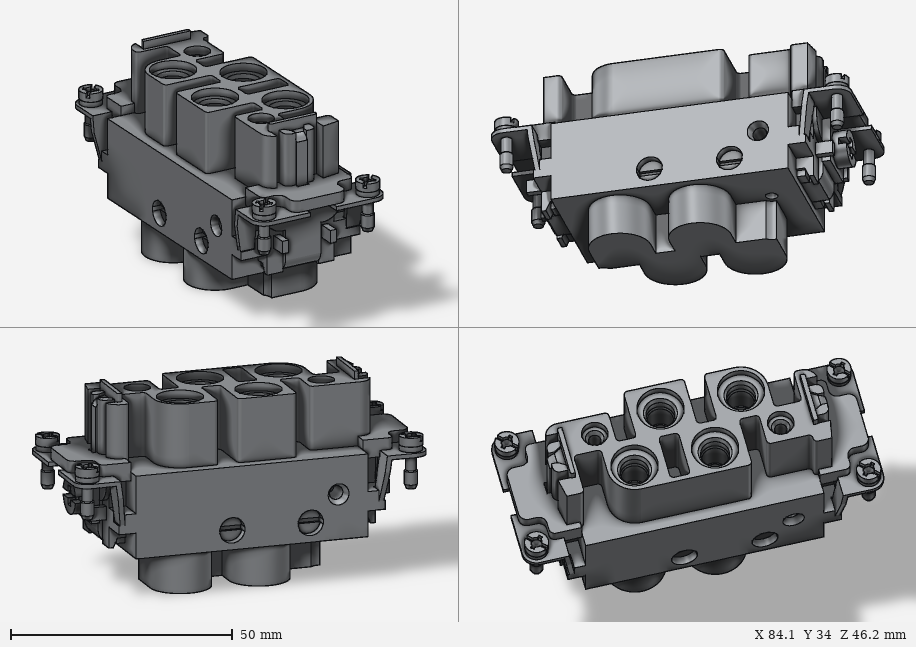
import cadquery as cq
import math


BODY_BOTTOM = 9.8
BODY_TOP = 29.3
INSERT_TOP = 44.2
LATCH_TOP = 46.2
FLANGE_TOP = 31.5
PLATE_TOP = 28.8
PLATE_THICKNESS = 1.0
PLATE_BOTTOM = PLATE_TOP - PLATE_THICKNESS

BODY_HALF_LENGTH = 27.75
BODY_HALF_WIDTH = 15.6

CONTACT_Y = 6.5
CONTACT_X_NEAR = 4.7
CONTACT_X_FAR = 14.05
CONTACTS = [
    (-CONTACT_X_FAR, -CONTACT_Y),
    (CONTACT_X_NEAR, -CONTACT_Y),
    (-CONTACT_X_NEAR, CONTACT_Y),
    (CONTACT_X_FAR, CONTACT_Y),
]
CONTACT_PROFILE = [
    (10.7, 0.0),
    (10.7, 1.9),
    (7.65, 1.9),
    (6.6, 2.9),
    (6.6, 4.7),
    (6.0, 5.2),
    (6.0, 11.8),
    (5.3, 11.8),
    (0.0, 13.45),
]

PINS = [(-20.7, 3.8), (20.7, -3.8)]
PIN_THROUGH_DIAMETER = 2.8
PIN_PROFILE = [
    (6.0, 0.0),
    (6.0, 2.1),
    (4.2, 2.1),
    (PIN_THROUGH_DIAMETER, 3.0),
    (PIN_THROUGH_DIAMETER, INSERT_TOP),
    (0.0, INSERT_TOP),
]

INSERT_HALF_WIDTH = 12.8
CONTACT_WALL = 6.3
NOTCH_FLOOR_Y = 0.6
NOTCH_CORNER = 0.9
SLOT_X_INNER = 2.35
SLOT_X_OUTER = 7.0
SIDE_NOTCH_INNER = 11.8
SIDE_NOTCH_OUTER = 16.4
END_NOTCH_OUTER = 26.75
END_BLOCK_Y = 8.5
PRONG_Y = 10.5
PRONG_X = 30.9
PRONG_TIP_X = 31.7
PRONG_CORNER = 3.4

LATCH_HALF_WIDTH = 6.1
LATCH_GAP_HALF_WIDTH = 6.0
TONGUE_X_INNER = 27.75
TONGUE_X_OUTER = 28.85
TONGUE_CORNER = 0.4
LATCH_BLOCK_X = 32.1
LATCH_BLOCK_HALF_WIDTH = 3.95
GUIDE_CORNER = 1.5
TOOTH_X = 32.5
TOOTH_HALF_WIDTH = 1.4
TOOTH_RAMP_X = 30.7
TOOTH_FLOOR_Z = 43.6
TOOTH_RAMP_Z = 42.05
RELIEF_HALF_WIDTH = 2.6
TOOTH_GAP = 0.7

END_X = 31.9
END_HALF_WIDTH = 8.75
PANEL_X = 33.0
PANEL_HALF_WIDTH = 10.3
PANEL_BOTTOM = 21.45
PANEL_CORNER = 5.05
RIB_HALF_WIDTH = 4.6
RIB_BOTTOM = 11.7
RIB_CURVE_TOP = 14.0
RIB_CURVE_MIDDLE = (32.55, 12.6)
ARM_BOTTOM = 15.9
ARM_TOP = 20.4
FLANGE_BOTTOM = 27.25
FLANGE_X = 40.7
FLANGE_NECK_X = 35.1
FLANGE_HALF_WIDTH = 12.0
FLANGE_TIP_HALF_WIDTH = 7.0
FLANGE_NECK_CORNER = 1.35
FLANGE_TIP_CORNER = 1.9
LUG_X = 35.8
LUG_HALF_WIDTH = 7.1
LUG_BOTTOM = 17.15
LUG_TOP = 20.3

PLATE_X = 42.05
PLATE_HALF_WIDTH = 17.0
PLATE_CORNER = 3.3
PLATE_NOTCH_HALF_WIDTH = 3.45
PANEL_RECESS_DEPTH = 0.7
LEG_HALF_WIDTH_INNER = 11.95
LEG_TAPER_TOP = 24.8
LEG_BOTTOM = 18.0
LEG_BOTTOM_INNER_X = 30.4
LEG_BOTTOM_OUTER_X = 31.5

SCREW_X = 38.7
SCREW_Y = 13.5
SCREW_TOP = 32.1
SCREW_WASHER_TOP = 30.0
SCREW_NECK_BOTTOM = 24.05
SCREW_HEAD_DIAMETER = 5.5
SCREW_STEPS = [
    (SCREW_TOP, SCREW_WASHER_TOP, SCREW_HEAD_DIAMETER),
    (SCREW_WASHER_TOP, PLATE_TOP, 5.3),
    (PLATE_TOP, SCREW_NECK_BOTTOM, 2.5),
]
SCREW_THREAD_DIAMETER = 3.0
SCREW_THREAD_BOTTOM = 20.8
SCREW_TIP_DIAMETER = 2.2
SCREW_BOTTOM = 19.8
SCREW_TAPER = 0.25
SCREW_SLOT_WIDTH = 0.8
SCREW_SLOT_DEPTH = 1.1
SCREW_CROSS_LENGTH = 3.7
RECESS_DIAMETER = 2.5
RECESS_POINT_DEPTH = 1.1

TERMINAL_HALF_WIDTH = 5.5
TERMINAL_X = 34.9
TERMINAL_Z = 21.5
TERMINAL_HEAD_DIAMETER = 8.5
TERMINAL_HEAD_X = 38.3
TERMINAL_SLOT_HEIGHT = 1.5
TERMINAL_SLOT_DEPTH = 1.85
TERMINAL_CROSS_LENGTH = 4.5
TERMINAL_CROSS_WIDTH = 1.85

CLAMP_HOLE_DIAMETER = 6.0
CLAMP_HOLE_Z = 14.4
CLAMP_HOLE_DEPTH = 2.0
CLAMP_SLOT_WIDTH = 1.1
CLAMP_SLOT_DEPTH = 0.8
PIN_HOLE_Z = 20.4
PIN_HOLE_MOUTH_DIAMETER = 5.0
PIN_HOLE_MOUTH_DEPTH = 1.7
PIN_HOLE_DIAMETER = 3.2
PIN_HOLE_DEPTH = 7.6

SLEEVE_RADIUS = 7.15
SLEEVE_WEB_HALF_WIDTH = 2.1
SLEEVE_RELIEF_DIAMETER = 5.0


def box(x0, x1, y0, y1, z0, z1):
    """Box between two opposite corners."""
    return cq.Workplane("XY").box(x1 - x0, y1 - y0, z1 - z0, centered=False).translate((x0, y0, z0))


def cylinder(x, y, z0, z1, diameter):
    """Upright cylinder between two heights."""
    return cq.Workplane("XY").circle(diameter / 2).extrude(z1 - z0).translate((x, y, z0))


def rounded_prism(corners, z0, z1):
    """Upright prism whose corners (x, y, radius) are rounded; radius 0 stays sharp."""
    rounded = []
    count = len(corners)
    for i, (x, y, radius) in enumerate(corners):
        corner = cq.Vector(x, y)
        back = (cq.Vector(*corners[i - 1][:2]) - corner).normalized()
        ahead = (cq.Vector(*corners[(i + 1) % count][:2]) - corner).normalized()
        half_angle = back.getAngle(ahead) / 2
        reach = radius / math.tan(half_angle)
        middle = (back + ahead).normalized() * (radius / math.sin(half_angle) - radius)
        rounded.append((corner + back * reach, corner + middle, corner + ahead * reach, radius))

    outline = cq.Workplane("XY").moveTo(rounded[0][2].x, rounded[0][2].y)
    for start, middle, end, radius in rounded[1:] + rounded[:1]:
        outline = outline.lineTo(start.x, start.y)
        if radius:
            outline = outline.threePointArc((middle.x, middle.y), (end.x, end.y))
    return outline.close().extrude(z1 - z0).translate((0, 0, z0))


def on_both_ends(solid):
    """A feature of the +X end together with its mirror image on the -X end."""
    return solid.union(solid.mirror("YZ"))


def on_both_sides(solid):
    """A feature of the +Y side together with its mirror image on the -Y side."""
    return solid.union(solid.mirror("XZ"))


def half_turn(solid):
    """A feature together with its copy turned half a turn about Z."""
    return solid.union(solid.rotate((0, 0, 0), (0, 0, 1), 180))


def mating_insert():
    """Moulded block around the contacts, with slots between them and prongs at the ends."""
    r = NOTCH_CORNER
    far_wall = CONTACT_X_FAR + CONTACT_WALL
    corners = [
        (-PRONG_TIP_X, LATCH_HALF_WIDTH, 0),
        (-PRONG_X, PRONG_Y, 0),
        (-END_NOTCH_OUTER, PRONG_Y, r),
        (-END_NOTCH_OUTER, END_BLOCK_Y, r),
        (-SIDE_NOTCH_OUTER, END_BLOCK_Y, r),
        (-SIDE_NOTCH_OUTER, NOTCH_FLOOR_Y, r),
        (-SIDE_NOTCH_INNER, NOTCH_FLOOR_Y, r),
        (-SIDE_NOTCH_INNER, INSERT_HALF_WIDTH, r),
        (far_wall, INSERT_HALF_WIDTH, CONTACT_WALL),
        (far_wall, NOTCH_FLOOR_Y, r),
        (END_NOTCH_OUTER, NOTCH_FLOOR_Y, r),
        (END_NOTCH_OUTER, PRONG_Y, r),
        (PRONG_X, PRONG_Y, 0),
        (PRONG_TIP_X, LATCH_HALF_WIDTH, 0),
        (PRONG_TIP_X, -END_BLOCK_Y, PRONG_CORNER),
        (SIDE_NOTCH_OUTER, -END_BLOCK_Y, r),
        (SIDE_NOTCH_OUTER, -NOTCH_FLOOR_Y, r),
        (SIDE_NOTCH_INNER, -NOTCH_FLOOR_Y, r),
        (SIDE_NOTCH_INNER, -INSERT_HALF_WIDTH, r),
        (-SLOT_X_INNER, -INSERT_HALF_WIDTH, r),
        (-SLOT_X_INNER, -NOTCH_FLOOR_Y, r),
        (-SLOT_X_OUTER, -NOTCH_FLOOR_Y, r),
        (-SLOT_X_OUTER, -INSERT_HALF_WIDTH, r),
        (-far_wall, -INSERT_HALF_WIDTH, CONTACT_WALL),
        (-far_wall, -NOTCH_FLOOR_Y, r),
        (-END_NOTCH_OUTER, -NOTCH_FLOOR_Y, r),
        (-END_NOTCH_OUTER, -END_BLOCK_Y, r),
        (-PRONG_TIP_X, -END_BLOCK_Y, PRONG_CORNER),
    ]
    insert = rounded_prism(corners, PLATE_TOP, INSERT_TOP)
    slot_end_y = 11.7
    closed_slot = box(SLOT_X_INNER, SLOT_X_OUTER, NOTCH_FLOOR_Y, slot_end_y, BODY_TOP, INSERT_TOP)
    insert = insert.cut(closed_slot.edges("|Z").fillet(r))
    latch_gap = box(
        TONGUE_X_INNER, FLANGE_X, -LATCH_GAP_HALF_WIDTH, LATCH_GAP_HALF_WIDTH, FLANGE_TOP, INSERT_TOP
    )
    return insert.cut(on_both_ends(latch_gap))


def latch():
    """Spring tongue, guide block and snap tooth at the +X end."""
    tongue = box(
        TONGUE_X_INNER, TONGUE_X_OUTER, -LATCH_HALF_WIDTH, LATCH_HALF_WIDTH, FLANGE_BOTTOM, LATCH_TOP
    )
    tongue = tongue.edges("|Z and >X").fillet(TONGUE_CORNER)
    half = LATCH_BLOCK_HALF_WIDTH
    guide = box(TONGUE_X_INNER, LATCH_BLOCK_X, -half, half, FLANGE_BOTTOM, INSERT_TOP)
    guide = guide.edges("|Z and >X").fillet(GUIDE_CORNER)
    relief = (
        cq.Workplane("XY")
        .polyline(
            [
                (TONGUE_X_OUTER, RELIEF_HALF_WIDTH),
                (TOOTH_RAMP_X, TOOTH_HALF_WIDTH),
                (TOOTH_X, TOOTH_HALF_WIDTH),
                (TOOTH_X, -TOOTH_HALF_WIDTH),
                (TOOTH_RAMP_X, -TOOTH_HALF_WIDTH),
                (TONGUE_X_OUTER, -RELIEF_HALF_WIDTH),
            ]
        )
        .close()
        .extrude(INSERT_TOP - TOOTH_RAMP_Z)
        .translate((0, 0, TOOTH_RAMP_Z))
    )
    ramp_bulge = 0.13
    ramp_middle = (
        (TOOTH_RAMP_X + TOOTH_X) / 2 + ramp_bulge,
        (TOOTH_FLOOR_Z + TOOTH_RAMP_Z) / 2 + ramp_bulge,
    )
    tooth_block = (
        cq.Workplane("XZ")
        .moveTo(TONGUE_X_INNER, FLANGE_BOTTOM)
        .lineTo(TOOTH_X, FLANGE_BOTTOM)
        .lineTo(TOOTH_X, TOOTH_RAMP_Z)
        .threePointArc(ramp_middle, (TOOTH_RAMP_X, TOOTH_FLOOR_Z))
        .lineTo(TONGUE_X_INNER, TOOTH_FLOOR_Z)
        .close()
        .extrude(RELIEF_HALF_WIDTH, both=True)
    )
    tooth_strip = box(
        TONGUE_X_INNER, TOOTH_X, -TOOTH_HALF_WIDTH, TOOTH_HALF_WIDTH, FLANGE_BOTTOM, INSERT_TOP
    )
    floor = tooth_block.intersect(relief.union(tooth_strip))
    return guide.cut(relief).union(floor).union(tongue)


def flange():
    """Stepped flange with a rounded tip at the +X end."""
    half = [
        (FLANGE_NECK_X, FLANGE_HALF_WIDTH, FLANGE_NECK_CORNER),
        (FLANGE_NECK_X, FLANGE_TIP_HALF_WIDTH, FLANGE_TIP_CORNER),
        (FLANGE_X, FLANGE_TIP_HALF_WIDTH, FLANGE_TIP_CORNER),
    ]
    root = [(BODY_HALF_LENGTH, FLANGE_HALF_WIDTH, 0)]
    corners = root + half
    corners += [(x, -y, radius) for x, y, radius in reversed(corners)]
    tip = rounded_prism(corners, PLATE_TOP, FLANGE_TOP)
    root_block = box(
        BODY_HALF_LENGTH, END_X, -FLANGE_HALF_WIDTH, FLANGE_HALF_WIDTH, FLANGE_BOTTOM, FLANGE_TOP
    )
    tooth_clearance = box(
        TOOTH_X, TOOTH_X + TOOTH_GAP, -TOOTH_HALF_WIDTH, TOOTH_HALF_WIDTH, PLATE_TOP, FLANGE_TOP
    )
    return tip.union(root_block).cut(tooth_clearance)


def end_block():
    """Hooked end wall, side arms, hanging panel and centre rib at the +X end."""
    hook_bottom = 10.9
    hook_toe_x = 30.8
    heel_x = 29.8
    heel_half_width = 7.9
    heel_bottom = 11.6
    hook_notch_top = 13.1
    hook_points = [
        (BODY_HALF_LENGTH, FLANGE_TOP),
        (END_X, FLANGE_TOP),
        (END_X, hook_bottom),
        (hook_toe_x, hook_bottom),
        (heel_x, hook_notch_top),
        (BODY_HALF_LENGTH, hook_notch_top),
    ]
    wall = cq.Workplane("XZ").polyline(hook_points).close().extrude(END_HALF_WIDTH, both=True)
    heel = box(
        BODY_HALF_LENGTH, heel_x, -heel_half_width, heel_half_width, heel_bottom, hook_notch_top
    )
    wall = wall.union(heel)
    wall = wall.cut(box(BODY_HALF_LENGTH, END_X, -RIB_HALF_WIDTH, RIB_HALF_WIDTH, 0, RIB_BOTTOM))

    arms = box(BODY_HALF_LENGTH, END_X, -BODY_HALF_WIDTH, BODY_HALF_WIDTH, ARM_BOTTOM, ARM_TOP)
    leg_seat = box(
        LEG_BOTTOM_INNER_X, END_X, LEG_HALF_WIDTH_INNER, BODY_HALF_WIDTH, LEG_BOTTOM, ARM_TOP
    )
    arms = arms.cut(on_both_sides(leg_seat))

    panel = box(BODY_HALF_LENGTH, PANEL_X, -PANEL_HALF_WIDTH, PANEL_HALF_WIDTH, PANEL_BOTTOM, PLATE_TOP)
    panel = panel.edges("|X and <Z").fillet(PANEL_CORNER)
    behind = box(BODY_HALF_LENGTH, END_X, END_HALF_WIDTH, PANEL_HALF_WIDTH, PANEL_BOTTOM, FLANGE_BOTTOM)
    panel = panel.cut(on_both_sides(behind))
    recess_bottom = 27.2
    recess_bottom_half_width = 2.7
    recess = (
        cq.Workplane("YZ")
        .polyline(
            [
                (-PLATE_NOTCH_HALF_WIDTH, PLATE_TOP),
                (-PLATE_NOTCH_HALF_WIDTH, PLATE_BOTTOM),
                (-recess_bottom_half_width, recess_bottom),
                (recess_bottom_half_width, recess_bottom),
                (PLATE_NOTCH_HALF_WIDTH, PLATE_BOTTOM),
                (PLATE_NOTCH_HALF_WIDTH, PLATE_TOP),
            ]
        )
        .close()
        .extrude(PANEL_RECESS_DEPTH)
        .translate((PANEL_X - PANEL_RECESS_DEPTH, 0, 0))
    )

    rib = (
        cq.Workplane("XZ")
        .moveTo(BODY_HALF_LENGTH, PANEL_BOTTOM)
        .lineTo(PANEL_X, PANEL_BOTTOM)
        .lineTo(PANEL_X, RIB_CURVE_TOP)
        .threePointArc(RIB_CURVE_MIDDLE, (END_X, RIB_BOTTOM))
        .lineTo(BODY_HALF_LENGTH, RIB_BOTTOM)
        .close()
        .extrude(RIB_HALF_WIDTH, both=True)
    )
    lug = box(BODY_HALF_LENGTH, LUG_X, TERMINAL_HALF_WIDTH, LUG_HALF_WIDTH, LUG_BOTTOM, LUG_TOP)
    return wall.union(arms).union(panel.cut(recess)).union(rib).union(on_both_sides(lug))


def mounting_plate():
    """Sheet-metal plate with an end notch and two legs bent down at the +X end."""
    plate = box(END_X, PLATE_X, -PLATE_HALF_WIDTH, PLATE_HALF_WIDTH, PLATE_BOTTOM, PLATE_TOP)
    plate = plate.edges("|Z and >X").fillet(PLATE_CORNER)
    notch = PLATE_NOTCH_HALF_WIDTH
    plate = plate.cut(box(PANEL_X - PANEL_RECESS_DEPTH, PLATE_X, -notch, notch, PLATE_BOTTOM, PLATE_TOP))

    bent_sheet = (
        cq.Workplane("XZ")
        .polyline(
            [
                (END_X, PLATE_TOP),
                (PANEL_X, PLATE_TOP),
                (PANEL_X, PLATE_BOTTOM),
                (LEG_BOTTOM_OUTER_X, LEG_BOTTOM),
                (LEG_BOTTOM_INNER_X, LEG_BOTTOM),
            ]
        )
        .close()
        .extrude(PLATE_HALF_WIDTH, both=True)
    )
    leg_face = (
        cq.Workplane("YZ")
        .polyline(
            [
                (LEG_HALF_WIDTH_INNER, PLATE_TOP),
                (PLATE_HALF_WIDTH, PLATE_TOP),
                (PLATE_HALF_WIDTH, LEG_TAPER_TOP),
                (BODY_HALF_WIDTH, LEG_BOTTOM),
                (LEG_HALF_WIDTH_INNER, LEG_BOTTOM),
            ]
        )
        .close()
        .extrude(PLATE_X)
    )
    return plate.union(on_both_sides(bent_sheet.intersect(leg_face)))


def pointed_recess(depth):
    """Round recess below Z = 0 with a conical floor, the middle of a cross recess."""
    radius = RECESS_DIAMETER / 2
    profile = [(0, 0), (radius, 0), (radius, -depth), (0, -depth - RECESS_POINT_DEPTH)]
    return cq.Workplane("XZ").polyline(profile).close().revolve(360, (0, 0, 0), (0, 1, 0))


def mounting_screw(x, y):
    """Captive screw with a slotted cross-recess head and a necked shank."""
    top_to_thread = []
    for upper, lower, diameter in SCREW_STEPS:
        top_to_thread += [(diameter / 2, upper), (diameter / 2, lower)]
    profile = [(0, SCREW_TOP)] + top_to_thread + [
        (SCREW_THREAD_DIAMETER / 2, SCREW_NECK_BOTTOM - SCREW_TAPER),
        (SCREW_THREAD_DIAMETER / 2, SCREW_THREAD_BOTTOM),
        (SCREW_TIP_DIAMETER / 2, SCREW_BOTTOM),
        (0, SCREW_BOTTOM),
    ]
    screw = cq.Workplane("XZ").polyline(profile).close().revolve(360, (0, 0, 0), (0, 1, 0))
    half_slot = SCREW_SLOT_WIDTH / 2
    half_cross = SCREW_CROSS_LENGTH / 2
    recess_floor = SCREW_TOP - SCREW_SLOT_DEPTH
    slot = box(
        -SCREW_HEAD_DIAMETER, SCREW_HEAD_DIAMETER, -half_slot, half_slot, recess_floor, SCREW_TOP
    )
    cross = box(-half_slot, half_slot, -half_cross, half_cross, recess_floor, SCREW_TOP)
    centre = pointed_recess(SCREW_SLOT_DEPTH).translate((0, 0, SCREW_TOP))
    recess = slot.union(cross).union(centre).rotate((0, 0, 0), (0, 0, 1), -45)
    return screw.cut(recess).translate((x, y, 0))


def earth_terminal():
    """Square clamp block with a slotted screw head on the -X end."""
    half = TERMINAL_HALF_WIDTH
    block = box(-TERMINAL_X, -PANEL_X, -half, half, TERMINAL_Z - half, TERMINAL_Z + half)
    centre = cq.Workplane("YZ", origin=(-TERMINAL_HEAD_X, 0, TERMINAL_Z))
    head = centre.circle(TERMINAL_HEAD_DIAMETER / 2).extrude(TERMINAL_HEAD_X - TERMINAL_X)
    slot = centre.rect(TERMINAL_HEAD_DIAMETER, TERMINAL_SLOT_HEIGHT).extrude(TERMINAL_SLOT_DEPTH)
    half_cross = TERMINAL_CROSS_LENGTH / 2
    cross = (
        cq.Workplane("XZ")
        .polyline(
            [
                (-TERMINAL_HEAD_X, TERMINAL_Z - half_cross),
                (-TERMINAL_HEAD_X, TERMINAL_Z + half_cross),
                (TERMINAL_SLOT_DEPTH - TERMINAL_HEAD_X, TERMINAL_Z + RECESS_DIAMETER / 2),
                (TERMINAL_SLOT_DEPTH - TERMINAL_HEAD_X, TERMINAL_Z - RECESS_DIAMETER / 2),
            ]
        )
        .close()
        .extrude(TERMINAL_CROSS_WIDTH / 2, both=True)
    )
    point = pointed_recess(TERMINAL_SLOT_DEPTH).rotate((0, 0, 0), (0, 1, 0), -90)
    point = point.translate((-TERMINAL_HEAD_X, 0, TERMINAL_Z))
    return block.union(head).cut(slot).cut(cross).cut(point)


def cable_sleeves():
    """Sleeves under the body, joined to a web along the middle."""
    web_end = CONTACT_X_FAR + SLEEVE_RADIUS
    web = SLEEVE_WEB_HALF_WIDTH
    sleeves = box(-web_end, web_end, -web, web, 0, BODY_BOTTOM)
    for x, y in CONTACTS:
        sleeve = cylinder(x, y, 0, BODY_BOTTOM, 2 * SLEEVE_RADIUS)
        root = box(x - SLEEVE_RADIUS, x + SLEEVE_RADIUS, min(0, y), max(0, y), 0, BODY_BOTTOM)
        sleeves = sleeves.union(sleeve).union(root)
    for x, y in PINS:
        sleeves = sleeves.cut(cylinder(x, y, 0, BODY_BOTTOM, SLEEVE_RELIEF_DIAMETER))
    return sleeves


def socket_bore(x, y, profile):
    """Bore turned from a (diameter, depth) profile, opening at the mating face."""
    points = [(0, INSERT_TOP)] + [(diameter / 2, INSERT_TOP - depth) for diameter, depth in profile]
    bore = cq.Workplane("XZ").polyline(points).close().revolve(360, (0, 0, 0), (0, 1, 0))
    return bore.translate((x, y, 0))


def side_holes():
    """Clamp-screw and pilot holes in the -Y side and, turned half a turn, in the +Y side."""
    face = cq.Workplane("XZ", origin=(0, -BODY_HALF_WIDTH, 0))
    holes = None
    for x in (-CONTACT_X_NEAR, CONTACT_X_FAR):
        at_hole = face.center(x, CLAMP_HOLE_Z)
        hole = at_hole.circle(CLAMP_HOLE_DIAMETER / 2).extrude(-CLAMP_HOLE_DEPTH)
        slot_depth = CLAMP_HOLE_DEPTH + CLAMP_SLOT_DEPTH
        slot = at_hole.rect(CLAMP_HOLE_DIAMETER, CLAMP_SLOT_WIDTH).extrude(-slot_depth)
        hole = hole.union(slot)
        holes = hole if holes is None else holes.union(hole)
    at_pin = face.center(PINS[1][0], PIN_HOLE_Z)
    mouth = at_pin.circle(PIN_HOLE_MOUTH_DIAMETER / 2).workplane(offset=-PIN_HOLE_MOUTH_DEPTH)
    mouth = mouth.circle(PIN_HOLE_DIAMETER / 2).loft()
    pin_hole = at_pin.circle(PIN_HOLE_DIAMETER / 2).extrude(-PIN_HOLE_DEPTH)
    holes = holes.union(mouth).union(pin_hole)
    return half_turn(holes)


body = box(
    -BODY_HALF_LENGTH, BODY_HALF_LENGTH, -BODY_HALF_WIDTH, BODY_HALF_WIDTH, BODY_BOTTOM, BODY_TOP
)
connector = body.union(mating_insert()).union(cable_sleeves())
for end_feature in (end_block(), flange(), mounting_plate(), latch()):
    connector = connector.union(on_both_ends(end_feature))
connector = connector.union(earth_terminal())
for screw_x in (-SCREW_X, SCREW_X):
    for screw_y in (-SCREW_Y, SCREW_Y):
        connector = connector.union(mounting_screw(screw_x, screw_y))
for contact in CONTACTS:
    connector = connector.cut(socket_bore(*contact, CONTACT_PROFILE))
for pin in PINS:
    connector = connector.cut(socket_bore(*pin, PIN_PROFILE))
result = connector.cut(side_holes())